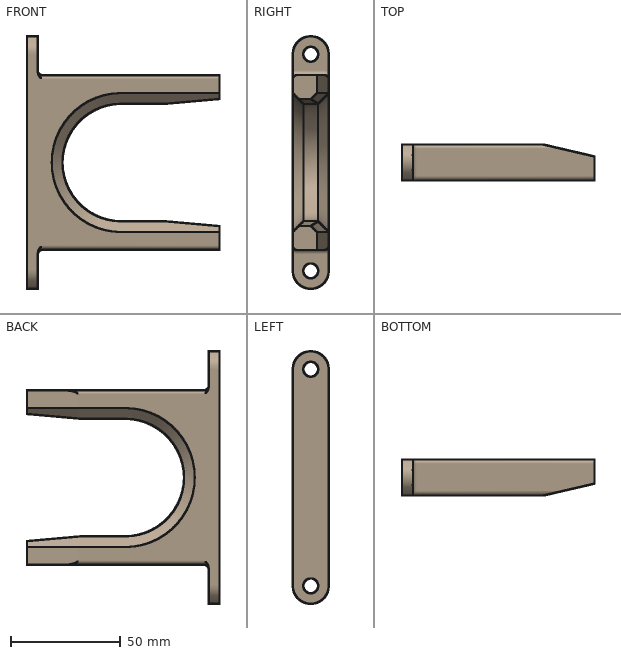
import cadquery as cq

height = 115.5
length = 88.0
width = 16.5
plate_thickness = 5.0
front_y = -width / 2
back_y = width / 2

arm_outer_z = 40.0
edge_radius = 2.0
edge_axis_z = arm_outer_z - edge_radius

slot_center_x = 43.1
slot_radius = 26.8
slot_chamfer = 5.0
slot_mouth_radius = slot_radius + slot_chamfer

taper_start_x = 64.7
tip_back_drop = 5.4
flare_start_x = 63.3
tip_flare = 2.2

hole_diameter = 6.7

overrun = 5.8
taper_overrun_ratio = 1 + overrun / (length - taper_start_x)
flare_overrun_ratio = 1 + overrun / (length - flare_start_x)
cutter_end_x = length + overrun


def wall_plate():
    """Plate with fully rounded ends."""
    return cq.Workplane("YZ").slot2D(height, width, 90).extrude(plate_thickness)


def fork_block():
    """Solid block for the fork, with its long outer edges rounded."""
    block = cq.Workplane("XY").box(length, width, 2 * arm_outer_z, centered=(False, True, True))
    return block.edges("|X").fillet(edge_radius)


def root_profile(y):
    """Concave corner section between the plate and an arm, at the given Y."""
    root_x = plate_thickness
    return (
        cq.Workplane("XZ", origin=(root_x, y, edge_axis_z))
        .lineTo(0, 2 * edge_radius)
        .radiusArc((edge_radius, edge_radius), -edge_radius)
        .lineTo(edge_radius, 0)
        .close()
    )


def root_fillets():
    """Concave fillets at the arm roots, wrapping around the rounded arm edges."""
    flat_half_width = width / 2 - edge_radius
    fillet = root_profile(flat_half_width).extrude(2 * flat_half_width)
    corner = root_profile(-flat_half_width).revolve(90, (0, 0, 0), (1, 0, 0))
    fillet = fillet.union(corner).union(corner.mirror("XZ"))
    flush_limits = cq.Workplane("XY").box(length, width, height, centered=(False, True, True))
    fillet = fillet.intersect(flush_limits)
    return fillet.union(fillet.mirror("XY"))


def slot_chamfer_cutter():
    """Round-bottomed slot narrowing at 45 degrees from the front face inward."""
    straight = cutter_end_x - slot_center_x
    return (
        cq.Workplane("XZ", origin=(slot_center_x, front_y, 0))
        .center(straight / 2, 0)
        .slot2D(straight + 2 * slot_mouth_radius, 2 * slot_mouth_radius)
        .extrude(-slot_chamfer, taper=45)
    )


def slot_cutter():
    """Through slot with flared tips and chamfers on both faces."""
    flared_z = slot_radius + tip_flare * flare_overrun_ratio
    through = (
        cq.Workplane("XZ", origin=(0, back_y, 0))
        .moveTo(slot_center_x, slot_radius)
        .lineTo(flare_start_x, slot_radius)
        .lineTo(cutter_end_x, flared_z)
        .lineTo(cutter_end_x, -flared_z)
        .lineTo(flare_start_x, -slot_radius)
        .lineTo(slot_center_x, -slot_radius)
        .threePointArc((slot_center_x - slot_radius, 0), (slot_center_x, slot_radius))
        .close()
        .extrude(width)
    )
    front = slot_chamfer_cutter()
    return through.union(front).union(front.mirror("XZ"))


def chamfer_section(x, face_y):
    """Cross-section of the slot chamfer below a back face at face_y."""
    inner_y = face_y - slot_chamfer
    points = [
        (x, face_y, -slot_mouth_radius),
        (x, face_y, slot_mouth_radius),
        (x, inner_y, slot_radius),
        (x, inner_y, -slot_radius),
    ]
    return cq.Wire.makePolygon([cq.Vector(*point) for point in points], close=True)


def tip_cutter():
    """Slope across the back of the arm tips, with the slot chamfer following it."""
    end_y = back_y - tip_back_drop * taper_overrun_ratio
    slope = (
        cq.Workplane("XY")
        .moveTo(taper_start_x, back_y)
        .lineTo(cutter_end_x, end_y)
        .lineTo(cutter_end_x, back_y)
        .close()
        .extrude(arm_outer_z, both=True)
    )
    sections = [chamfer_section(taper_start_x, back_y), chamfer_section(cutter_end_x, end_y)]
    chamfer = cq.Workplane("XY").add(cq.Solid.makeLoft(sections, True))
    return slope.union(chamfer)


def screw_holes():
    """One hole through each rounded plate end, concentric with it."""
    hole_z = (height - width) / 2
    return (
        cq.Workplane("YZ")
        .pushPoints([(0, -hole_z), (0, hole_z)])
        .circle(hole_diameter / 2)
        .extrude(plate_thickness)
    )


bracket = wall_plate().union(fork_block()).union(root_fillets())
result = bracket.cut(slot_cutter()).cut(tip_cutter()).cut(screw_holes())